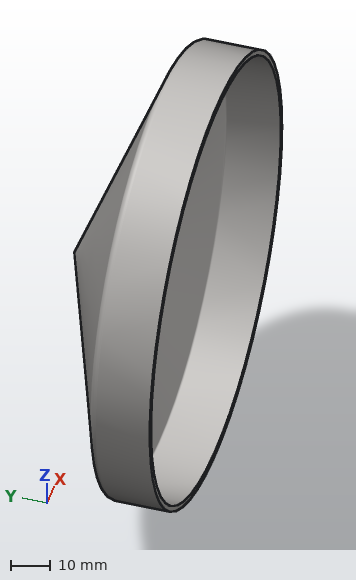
import cadquery as cq
import math

outer_diameter = 118.0
inner_diameter = 115.0
total_height = 36.9
cone_angle = 20.2
inner_bend_radius = 0.5
tip_radius = 0.1

outer_radius = outer_diameter / 2
inner_radius = inner_diameter / 2
thickness = outer_radius - inner_radius
outer_bend_radius = inner_bend_radius + thickness
slope = math.radians(cone_angle)

bend_center_radius = inner_radius - inner_bend_radius
bend_center_height = (
    total_height
    - (bend_center_radius - tip_radius) * math.tan(slope)
    - outer_bend_radius / math.cos(slope)
)
inner_tip_height = total_height - thickness / math.cos(slope)


def bend_point(bend_radius, angle):
    """Point on a bend arc; the angle runs from the wall (0) towards the cone."""
    return (
        bend_center_radius + bend_radius * math.cos(angle),
        bend_center_height + bend_radius * math.sin(angle),
    )


bend_end = math.pi / 2 - slope
bend_middle = bend_end / 2

half_section = (
    cq.Workplane("XY")
    .moveTo(inner_radius, 0)
    .lineTo(outer_radius, 0)
    .lineTo(*bend_point(outer_bend_radius, 0))
    .threePointArc(
        bend_point(outer_bend_radius, bend_middle),
        bend_point(outer_bend_radius, bend_end),
    )
    .lineTo(tip_radius, total_height)
    .lineTo(0, total_height)
    .lineTo(0, inner_tip_height)
    .lineTo(tip_radius, inner_tip_height)
    .lineTo(*bend_point(inner_bend_radius, bend_end))
    .threePointArc(
        bend_point(inner_bend_radius, bend_middle),
        bend_point(inner_bend_radius, 0),
    )
    .close()
)

result = half_section.revolve(360, (0, 0, 0), (0, 1, 0))